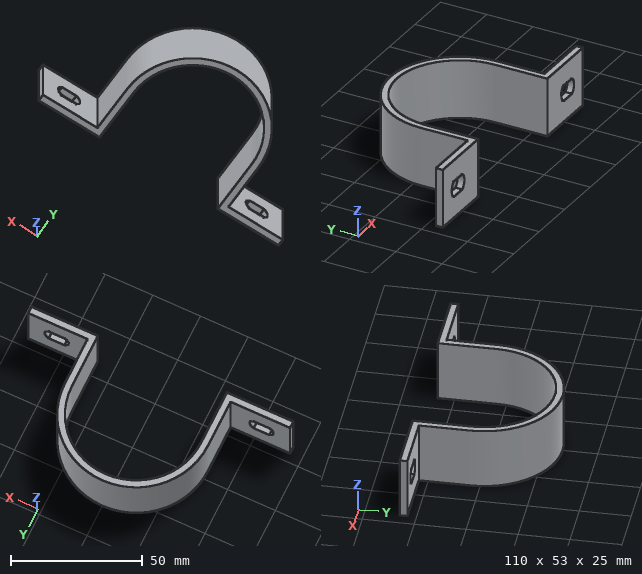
import cadquery as cq

length = 110.0
depth = 53.0
width = 25.0
thickness = 3.0

outer_radius = 30.0
inner_radius = outer_radius - thickness
arch_center_y = depth - outer_radius

slot_offset = 43.0
slot_length = 10.0
slot_height = 6.6
slot_straight = 6.6


def arch_strip():
    """Semicircular strap with straight legs and outward feet, extruded along Z."""
    half = length / 2
    return (
        cq.Workplane("XY")
        .moveTo(-half, 0)
        .lineTo(-inner_radius, 0)
        .lineTo(-inner_radius, arch_center_y)
        .threePointArc((0, arch_center_y + inner_radius), (inner_radius, arch_center_y))
        .lineTo(inner_radius, 0)
        .lineTo(half, 0)
        .lineTo(half, thickness)
        .lineTo(outer_radius, thickness)
        .lineTo(outer_radius, arch_center_y)
        .threePointArc((0, depth), (-outer_radius, arch_center_y))
        .lineTo(-outer_radius, thickness)
        .lineTo(-half, thickness)
        .close()
        .extrude(width)
    )


def slot_cutter(center_x):
    """Slot running through a foot along Y, centred across the strap width."""
    half_straight = slot_straight / 2
    half_length = slot_length / 2
    half_height = slot_height / 2
    return (
        cq.Workplane("XZ", origin=(center_x, 0, width / 2))
        .moveTo(-half_straight, -half_height)
        .lineTo(half_straight, -half_height)
        .threePointArc((half_length, 0), (half_straight, half_height))
        .lineTo(-half_straight, half_height)
        .threePointArc((-half_length, 0), (-half_straight, -half_height))
        .close()
        .extrude(-thickness)
    )


result = arch_strip()
for side in (-1, 1):
    result = result.cut(slot_cutter(side * slot_offset))